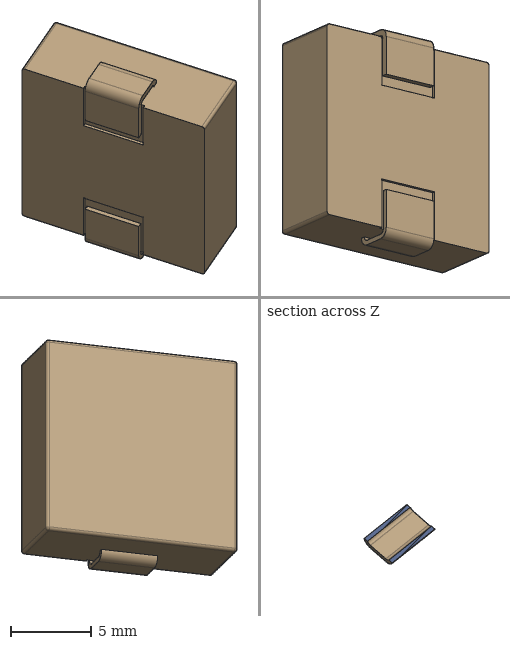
import cadquery as cq

total_height = 13.8
body_width = 12.6
body_depth = 4.8
body_edge_radius = 0.2

upper_strip_thickness = 0.4
lower_strip_thickness = 0.3
strip_width = 3.7
pad_length = 2.5
hook_length = 2.6
pad_stand_off = upper_strip_thickness / 2

recess_width = 4.1
recess_length = 3.2
recess_depth = upper_strip_thickness - pad_stand_off

body_height = body_width
body_top = body_height / 2
strip_top = total_height / 2


def make_body():
    """Block with rounded back edges and side corners and a sharp flat front rim."""
    block = cq.Workplane("XY").box(body_width, body_depth, body_height).translate((0, body_depth / 2, 0))
    return block.edges("|Y or >Y").fillet(body_edge_radius)


def make_recess():
    """Volume of the upper pad recess, open at the top of the body."""
    return (
        cq.Workplane("XY")
        .box(recess_width, recess_depth, recess_length)
        .translate((0, recess_depth / 2, body_top - recess_length / 2))
    )


def make_terminal(strip_thickness):
    """Terminal at the top: pad in its recess, bent over the body and back down onto its top."""
    outer_radius = strip_top - body_top
    inner_radius = outer_radius - strip_thickness
    pad_face = -pad_stand_off
    pad_back = pad_face + strip_thickness
    pad_end = body_top - pad_length
    hook_back = pad_face + hook_length
    hook_front = hook_back - strip_thickness
    strip_underside = strip_top - strip_thickness

    profile = (
        cq.Workplane("YZ")
        .moveTo(pad_face, pad_end)
        .lineTo(pad_face, body_top)
        .radiusArc((pad_face + outer_radius, strip_top), outer_radius)
        .lineTo(hook_back - outer_radius, strip_top)
        .radiusArc((hook_back, body_top), outer_radius)
        .lineTo(hook_front, body_top)
        .radiusArc((hook_front - inner_radius, strip_underside), -inner_radius)
        .lineTo(pad_back + inner_radius, strip_underside)
        .radiusArc((pad_back, body_top), -inner_radius)
        .lineTo(pad_back, pad_end)
        .close()
    )
    return profile.extrude(strip_width / 2, both=True)


recess = make_recess()

result = (
    make_body()
    .cut(recess)
    .cut(recess.mirror("XY"))
    .union(make_terminal(upper_strip_thickness))
    .union(make_terminal(lower_strip_thickness).mirror("XY"))
)